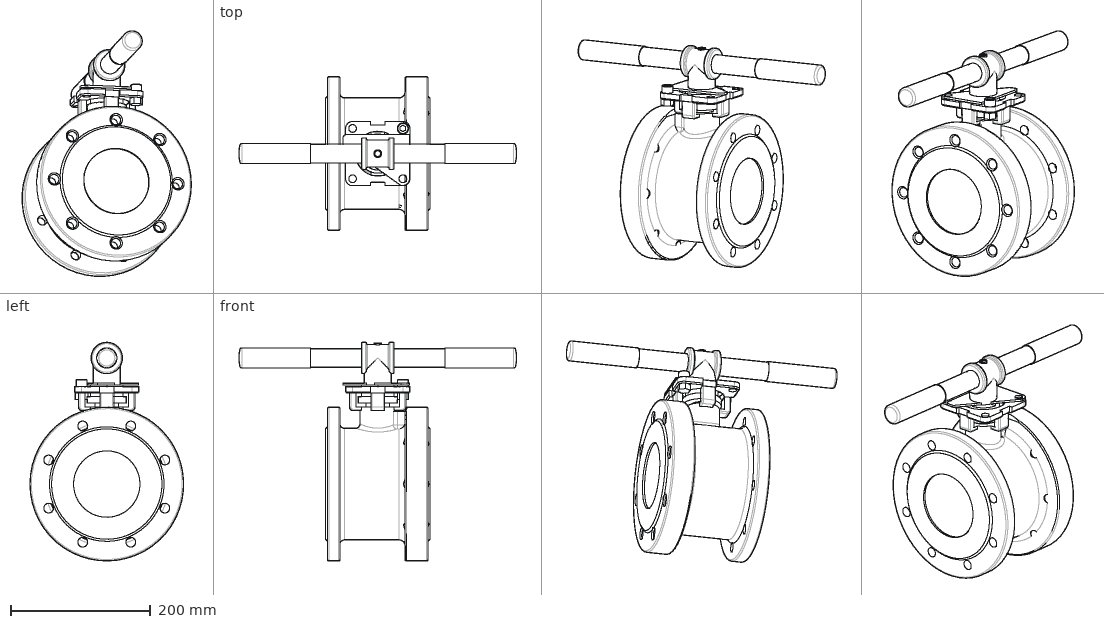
import cadquery as cq
import math


FACE_TO_FACE = 150.0
RAISED_FACE_HEIGHT = 3.0
RAISED_FACE_RADIUS = 79.0
FLANGE_RADIUS = 110.0
LEFT_FLANGE_WIDTH = 18.0
RIGHT_FLANGE_WIDTH = 33.0
FLANGE_EDGE_ROUND = 2.0
BARREL_RADIUS = 80.0
LEFT_FLARE_RADIUS = 7.0
LEFT_FLARE_LENGTH = 6.5
RIGHT_FLARE_RADIUS = 8.5
BORE_DIAMETER = 95.0
BORE_DEPTH = 3.0
BOLT_COUNT = 8
BOLT_CIRCLE_RADIUS = 90.0
BOLT_HOLE_DIAMETER = 13.84
RIGHT_BOLT_HOLE_DEPTH = 27.0
RIGHT_BOLT_COUNTERSINK = 18.0
PLATE_CLEARANCE_LENGTH = 3.0
PLATE_CLEARANCE_BOTTOM = 103.0

NECK_RADIUS = 25.5
NECK_TOP = 110.5
NECK_FILLET = 6.0
RIB_WIDTH = 18.0
RIB_TOP = 104.0
RIB_FILLET = 6.5
SELECTION_MARGIN = 1.0
GLAND_SLEEVE_RADIUS = 17.0
GLAND_DISC_RADIUS = 28.0
GLAND_DISC_BOTTOM = 116.0
GLAND_DISC_TOP = 125.0
STOP_COLLAR_RADIUS = 23.5
STOP_STEP_HEIGHT = 138.5

PLATE_SIDE = 92.0
PLATE_BOTTOM = 130.0
PLATE_TOP = 139.5
PLATE_CORNER_RADIUS = 10.0
PLATE_EDGE_CHAMFER = 2.0
PLATE_WINDOW_RADIUS = 32.0
PLATE_HOLE_DIAMETER = 11.0
PLATE_HOLE_OFFSET = 36.0
NOTCH_WIDTH = 20.5
NOTCH_DEPTH = 5.0
LEG_WIDTH = 20.0
LEG_THICKNESS = 9.5
LEG_SETBACK = 0.5
LEG_BOTTOM = 105.0
LEG_BEND_RADIUS = 5.0
LEG_EDGE_ROUND = 2.0

LOCK_PLATE_BOTTOM = 141.5
LOCK_PLATE_TOP = 144.5
LOCK_PLATE_BACK = 27.5
LOCK_PLATE_LEFT = -50.0
LOCK_PLATE_LEFT_END = 13.0
LOCK_PLATE_TIP_OVERHANG = 3.0
LOCK_PLATE_BACK_ROUND = 6.0
LOCK_PLATE_CORNER_RADIUS = 9.5

SCREW_HEAD_DIAMETER = 16.0
SCREW_HEAD_HEIGHT = 10.0
SCREW_HEAD_CHAMFER = 0.8
SCREW_SOCKET_WIDTH = 8.0
SCREW_SOCKET_DEPTH = 5.0
NUT_WIDTH = 16.0
NUT_HEIGHT = 9.0

LEVER_AXIS_HEIGHT = 180.46
LEVER_LENGTH = 397.76
HUB_RADIUS = 19.5
HUB_RING_RADIUS = 22.5
HUB_LENGTH = 47.0
HUB_RING_WIDTH = 7.5
HUB_RING_ROUND = 2.0
HUB_BLEND_RADIUS = (HUB_RING_RADIUS - HUB_RADIUS) / 2
ROD_DIAMETER = 27.0
GRIP_RADIUS = 14.5
GRIP_START = 96.0
GRIP_END_ROUND = 3.0
GRIP_DOME_HEIGHT = 1.4
SET_SCREW_BOSS_DIAMETER = 11.0
SET_SCREW_BOSS_TOP = 201.6
SET_SCREW_HOLE_DIAMETER = 8.38
SET_SCREW_HOLE_DEPTH = 5.0
SET_SCREW_COUNTERSINK = 10.0
SET_SCREW_COUNTERSINK_ANGLE = 90.0

HALF_BODY = FACE_TO_FACE / 2
LEFT_FLANGE_INNER = -HALF_BODY + RAISED_FACE_HEIGHT + LEFT_FLANGE_WIDTH
RIGHT_FLANGE_INNER = HALF_BODY - RAISED_FACE_HEIGHT - RIGHT_FLANGE_WIDTH


def z_cylinder(radius, bottom, top):
    return cq.Workplane("XY").workplane(offset=bottom).circle(radius).extrude(top - bottom)


def x_cylinder(radius, start, end):
    return cq.Workplane("YZ").workplane(offset=start).circle(radius).extrude(end - start)


def hexagon(width, bottom, height):
    """Hexagonal prism with two of its flats square to X."""
    corner_diameter = width / math.cos(math.pi / 6)
    prism = cq.Workplane("XY").polygon(6, corner_diameter).extrude(height)
    return prism.rotate((0, 0, 0), (0, 0, 1), 30).translate((0, 0, bottom))


def make_flange(start, end):
    disc = x_cylinder(FLANGE_RADIUS, start, end)
    return disc.edges().fillet(FLANGE_EDGE_ROUND)


def make_raised_face():
    """Raised face of the -X flange: a 45 degree cone frustum."""
    base_radius = RAISED_FACE_RADIUS + RAISED_FACE_HEIGHT
    return (
        cq.Workplane("XY")
        .moveTo(-HALF_BODY, 0)
        .lineTo(-HALF_BODY, RAISED_FACE_RADIUS)
        .lineTo(-HALF_BODY + RAISED_FACE_HEIGHT, base_radius)
        .lineTo(-HALF_BODY + RAISED_FACE_HEIGHT, 0)
        .close()
        .revolve(360, (0, 0, 0), (1, 0, 0))
    )


def make_barrel():
    """Barrel between the flanges, flaring into each with an arc."""
    left, right = LEFT_FLANGE_INNER, RIGHT_FLANGE_INNER
    left_flare_height = LEFT_FLARE_RADIUS - math.sqrt(LEFT_FLARE_RADIUS**2 - LEFT_FLARE_LENGTH**2)
    return (
        cq.Workplane("XY")
        .moveTo(left, 0)
        .lineTo(left, BARREL_RADIUS + left_flare_height)
        .radiusArc((left + LEFT_FLARE_LENGTH, BARREL_RADIUS), -LEFT_FLARE_RADIUS)
        .lineTo(right - RIGHT_FLARE_RADIUS, BARREL_RADIUS)
        .radiusArc((right, BARREL_RADIUS + RIGHT_FLARE_RADIUS), -RIGHT_FLARE_RADIUS)
        .lineTo(right, 0)
        .close()
        .revolve(360, (0, 0, 0), (1, 0, 0))
    )


def make_neck():
    """Neck and its rib to the +X flange, filleted onto the plain barrel."""
    neck = z_cylinder(NECK_RADIUS, 0, NECK_TOP)
    rib = cq.Workplane("XY").box(RIGHT_FLANGE_INNER, RIB_WIDTH, RIB_TOP, centered=(False, True, False))
    rib_root = cq.selectors.BoxSelector(
        (SELECTION_MARGIN, -RIB_WIDTH, SELECTION_MARGIN),
        (NECK_RADIUS, RIB_WIDTH, RIB_TOP - SELECTION_MARGIN),
    )
    neck = neck.union(rib).edges("|Z").edges(rib_root).fillet(RIB_FILLET)
    neck = neck.union(x_cylinder(BARREL_RADIUS, LEFT_FLANGE_INNER, RIGHT_FLANGE_INNER))
    reach = NECK_RADIUS + SELECTION_MARGIN
    barrel_joint = cq.selectors.BoxSelector(
        (-reach, -reach, BARREL_RADIUS / 2),
        (RIGHT_FLANGE_INNER + SELECTION_MARGIN, reach, BARREL_RADIUS + SELECTION_MARGIN),
        boundingbox=True,
    )
    return neck.edges(barrel_joint).fillet(NECK_FILLET)


def cut_plate_clearance(flange):
    """Sloped flat on top of the +X flange, clearing the mounting plate."""
    rise = FLANGE_RADIUS - PLATE_CLEARANCE_BOTTOM
    wedge = (
        cq.Workplane("XZ")
        .moveTo(RIGHT_FLANGE_INNER, PLATE_CLEARANCE_BOTTOM)
        .line(PLATE_CLEARANCE_LENGTH, rise)
        .line(-PLATE_CLEARANCE_LENGTH, 0)
        .close()
        .extrude(FLANGE_RADIUS, both=True)
    )
    return flange.cut(wedge)


def make_body():
    flange_face = HALF_BODY - RAISED_FACE_HEIGHT
    raised_face = make_raised_face()
    right_flange = cut_plate_clearance(make_flange(RIGHT_FLANGE_INNER, flange_face))
    body = make_barrel().union(make_neck())
    body = body.union(make_flange(-flange_face, LEFT_FLANGE_INNER)).union(right_flange)
    return body.union(raised_face).union(raised_face.mirror("YZ"))


def cut_bores(body):
    """Shallow bore in each end face, with a flat floor."""
    bore = x_cylinder(BORE_DIAMETER / 2, -HALF_BODY, -HALF_BODY + BORE_DEPTH)
    return body.cut(bore).cut(bore.mirror("YZ"))


def make_right_bolt_hole():
    """Countersunk blind hole in the +X flange and its spot face in the barrel flare."""
    radius = BOLT_HOLE_DIAMETER / 2
    sink_radius = RIGHT_BOLT_COUNTERSINK / 2
    face = HALF_BODY - RAISED_FACE_HEIGHT
    hole = x_cylinder(radius, face - RIGHT_BOLT_HOLE_DEPTH, HALF_BODY)
    countersink_depth = sink_radius - radius
    countersink_start = cq.Vector(face - countersink_depth, 0, 0)
    along_x = cq.Vector(1, 0, 0)
    countersink = cq.Workplane(
        cq.Solid.makeCone(radius, sink_radius, countersink_depth, countersink_start, along_x)
    )
    rim = x_cylinder(sink_radius, face, HALF_BODY)
    spot_face = x_cylinder(radius, RIGHT_FLANGE_INNER - RIGHT_FLARE_RADIUS, RIGHT_FLANGE_INNER)
    return hole.union(countersink).union(rim).union(spot_face)


def cut_bolt_holes(body):
    """Through holes in the -X flange; blind holes, half a pitch round, in the +X flange."""
    left_hole = x_cylinder(BOLT_HOLE_DIAMETER / 2, -HALF_BODY, LEFT_FLANGE_INNER)
    pitch = 360 / BOLT_COUNT
    for hole, first_angle in ((left_hole, pitch / 2), (make_right_bolt_hole(), 0)):
        hole = hole.translate((0, 0, BOLT_CIRCLE_RADIUS))
        for index in range(BOLT_COUNT):
            body = body.cut(hole.rotate((0, 0, 0), (1, 0, 0), first_angle + index * pitch))
    return body


def make_gland():
    """Gland sleeve, disc and stop collar; one quarter of the collar is stepped down."""
    sleeve = z_cylinder(GLAND_SLEEVE_RADIUS, NECK_TOP, GLAND_DISC_BOTTOM)
    disc = z_cylinder(GLAND_DISC_RADIUS, GLAND_DISC_BOTTOM, GLAND_DISC_TOP)
    collar = z_cylinder(STOP_COLLAR_RADIUS, GLAND_DISC_TOP, LOCK_PLATE_BOTTOM)
    step = cq.Workplane("XY").box(
        STOP_COLLAR_RADIUS, STOP_COLLAR_RADIUS, LOCK_PLATE_BOTTOM - STOP_STEP_HEIGHT, centered=False
    )
    step = step.translate((-STOP_COLLAR_RADIUS, -STOP_COLLAR_RADIUS, STOP_STEP_HEIGHT))
    return sleeve.union(disc).union(collar.cut(step))


def make_leg():
    """L-shaped leg on the +X side: a post with a foot running in to the neck."""
    outer = PLATE_SIDE / 2 - NOTCH_DEPTH - LEG_SETBACK
    height = PLATE_BOTTOM - LEG_BOTTOM
    leg = (
        cq.Workplane("XY")
        .box(outer, LEG_WIDTH, height, centered=(False, True, False))
        .edges(">X and <Z")
        .fillet(LEG_BEND_RADIUS)
        .faces(">X")
        .edges("|Z")
        .fillet(LEG_EDGE_ROUND)
        .translate((0, 0, LEG_BOTTOM))
    )
    inside = cq.Workplane("XY").box(
        outer - LEG_THICKNESS, LEG_WIDTH, PLATE_BOTTOM - NECK_TOP, centered=(False, True, False)
    )
    return leg.cut(inside.translate((0, 0, NECK_TOP)))


def make_mounting_plate():
    thickness = PLATE_TOP - PLATE_BOTTOM
    hole_pitch = 2 * PLATE_HOLE_OFFSET
    plate = (
        cq.Workplane("XY")
        .workplane(offset=PLATE_BOTTOM)
        .rect(PLATE_SIDE, PLATE_SIDE)
        .extrude(thickness)
        .edges("|Z")
        .fillet(PLATE_CORNER_RADIUS)
        .faces("<Z")
        .chamfer(PLATE_EDGE_CHAMFER)
    )
    plate = plate.cut(z_cylinder(PLATE_WINDOW_RADIUS, PLATE_BOTTOM, PLATE_TOP))
    holes = (
        cq.Workplane("XY")
        .workplane(offset=PLATE_BOTTOM)
        .rect(hole_pitch, hole_pitch, forConstruction=True)
        .vertices()
        .circle(PLATE_HOLE_DIAMETER / 2)
        .extrude(thickness)
    )
    plate = plate.cut(holes)
    notch = cq.Workplane("XY").box(2 * NOTCH_DEPTH, NOTCH_WIDTH, thickness, centered=(True, True, False))
    notch = notch.translate((PLATE_SIDE / 2, 0, PLATE_BOTTOM))
    leg = make_leg()
    for angle in (0, 90, 180, 270):
        plate = plate.cut(notch.rotate((0, 0, 0), (0, 0, 1), angle))
        plate = plate.union(leg.rotate((0, 0, 0), (0, 0, 1), angle))
    return plate


def make_lock_plate():
    """Swinging plate whose padlock hole lies over a mounting plate hole."""
    right = PLATE_HOLE_OFFSET + LOCK_PLATE_CORNER_RADIUS
    front = -right
    plate = (
        cq.Workplane("XY")
        .workplane(offset=LOCK_PLATE_BOTTOM)
        .moveTo(LOCK_PLATE_LEFT, LOCK_PLATE_BACK)
        .lineTo(right, LOCK_PLATE_BACK)
        .lineTo(right, front)
        .lineTo(PLATE_HOLE_OFFSET - LOCK_PLATE_TIP_OVERHANG, front)
        .lineTo(LOCK_PLATE_LEFT, LOCK_PLATE_LEFT_END)
        .close()
        .extrude(LOCK_PLATE_TOP - LOCK_PLATE_BOTTOM)
    )
    plate = plate.edges("|Z and >X and <Y").fillet(LOCK_PLATE_CORNER_RADIUS)
    plate = plate.edges("|Z and <X and >Y").fillet(LOCK_PLATE_BACK_ROUND)
    hole = z_cylinder(PLATE_HOLE_DIAMETER / 2, LOCK_PLATE_BOTTOM, LOCK_PLATE_TOP)
    return plate.cut(hole.translate((PLATE_HOLE_OFFSET, -PLATE_HOLE_OFFSET, 0)))


def make_stop_screw():
    head_top = PLATE_TOP + SCREW_HEAD_HEIGHT
    screw = z_cylinder(SCREW_HEAD_DIAMETER / 2, PLATE_TOP, head_top).faces(">Z").chamfer(SCREW_HEAD_CHAMFER)
    screw = screw.cut(hexagon(SCREW_SOCKET_WIDTH, head_top - SCREW_SOCKET_DEPTH, SCREW_SOCKET_DEPTH))
    screw = screw.union(z_cylinder(PLATE_HOLE_DIAMETER / 2, PLATE_BOTTOM, PLATE_TOP))
    screw = screw.union(hexagon(NUT_WIDTH, PLATE_BOTTOM - NUT_HEIGHT, NUT_HEIGHT))
    return screw.translate((PLATE_HOLE_OFFSET, PLATE_HOLE_OFFSET, 0))


def make_half_handle():
    """+X half of the handle: a plain rod and a thicker grip with a domed end."""
    end = LEVER_LENGTH / 2
    dome_base = end - GRIP_DOME_HEIGHT
    dome_radius = GRIP_RADIUS - GRIP_END_ROUND
    sphere_radius = (dome_radius**2 + GRIP_DOME_HEIGHT**2) / (2 * GRIP_DOME_HEIGHT)
    return (
        cq.Workplane("XY")
        .lineTo(0, ROD_DIAMETER / 2)
        .lineTo(GRIP_START, ROD_DIAMETER / 2)
        .lineTo(GRIP_START, GRIP_RADIUS)
        .lineTo(dome_base - GRIP_END_ROUND, GRIP_RADIUS)
        .radiusArc((dome_base, dome_radius), GRIP_END_ROUND)
        .radiusArc((end, 0), sphere_radius)
        .close()
        .revolve(360, (0, 0, 0), (1, 0, 0))
    )


def make_half_hub():
    """+X half of the hub: a plain cylinder with a rounded ring blended in at its end."""
    end = HUB_LENGTH / 2
    ring_start = end - HUB_RING_WIDTH
    return (
        cq.Workplane("XY")
        .lineTo(0, HUB_RADIUS)
        .lineTo(ring_start - HUB_BLEND_RADIUS, HUB_RADIUS)
        .radiusArc((ring_start, HUB_RADIUS + HUB_BLEND_RADIUS), -HUB_BLEND_RADIUS)
        .radiusArc((ring_start + HUB_BLEND_RADIUS, HUB_RING_RADIUS), HUB_BLEND_RADIUS)
        .lineTo(end - HUB_RING_ROUND, HUB_RING_RADIUS)
        .radiusArc((end, HUB_RING_RADIUS - HUB_RING_ROUND), HUB_RING_ROUND)
        .lineTo(end, 0)
        .close()
        .revolve(360, (0, 0, 0), (1, 0, 0))
    )


def make_lever():
    half_lever = make_half_handle().union(make_half_hub())
    lever = half_lever.union(half_lever.mirror("YZ"))
    lever = lever.translate((0, 0, LEVER_AXIS_HEIGHT))
    lever = lever.union(z_cylinder(HUB_RADIUS, LOCK_PLATE_BOTTOM, LEVER_AXIS_HEIGHT))
    boss = z_cylinder(SET_SCREW_BOSS_DIAMETER / 2, LEVER_AXIS_HEIGHT, SET_SCREW_BOSS_TOP)
    return (
        lever.union(boss)
        .faces(cq.selectors.NearestToPointSelector((0, 0, SET_SCREW_BOSS_TOP)))
        .workplane(origin=(0, 0, SET_SCREW_BOSS_TOP))
        .cskHole(
            SET_SCREW_HOLE_DIAMETER,
            SET_SCREW_COUNTERSINK,
            SET_SCREW_COUNTERSINK_ANGLE,
            SET_SCREW_HOLE_DEPTH,
        )
    )


result = cut_bolt_holes(cut_bores(make_body()))
for component in (
    make_gland(),
    make_mounting_plate(),
    make_lock_plate(),
    make_stop_screw(),
    make_lever(),
):
    result = result.union(component)